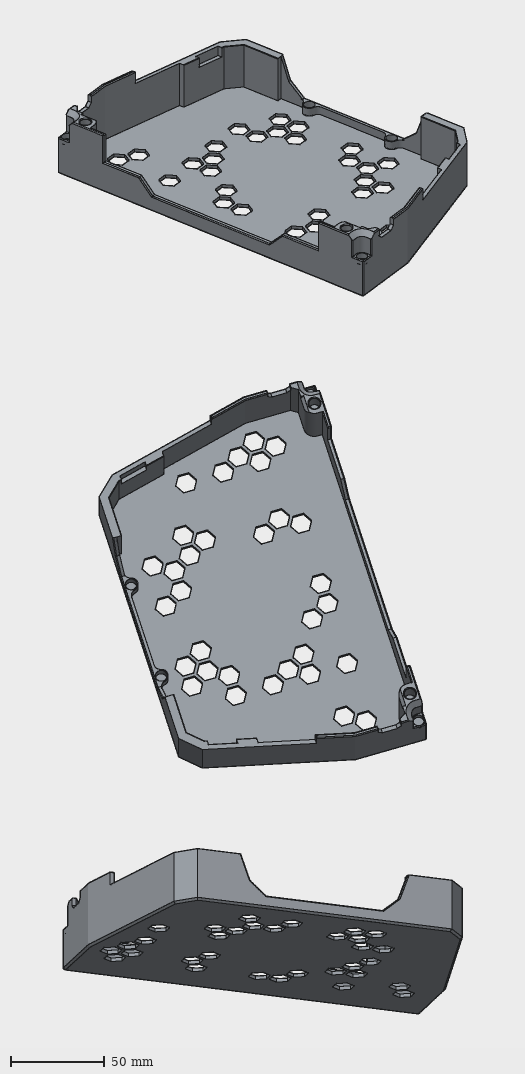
import cadquery as cq
import math

WIDTH = 203.6
DEPTH = 130.0
HEIGHT = 36.6
HALF_WIDTH = WIDTH / 2

SIDE_STRAIGHT_END = 40.0
REAR_CORNER = 10.3
REAR_CORNER_X = 82.3
REAR_HALF_WIDTH = 72.5

WALL = 2.3
THICK_WALL = 5.0
FLOOR = 2.0
BOTTOM_CHAMFER = 1.2
RIM_CHAMFER = 0.6
THICK_RIM_CHAMFER = 0.3
OUTWARD_TAPER = -45
THICK_SIDE_START = 90.0
REAR_HEIGHT = 29.0
SIDE_STEP_Y = 60.3

FRONT_OPENING_HALF = 71.3
FRONT_LEDGE_Z = 19.0
OPENING_LEDGE_HALF = 47.6
FRONT_SILL_HALF = 39.0
FRONT_SILL_Z = 10.0

REAR_KINK_HALF = 42.4
REAR_KINK_Z = 14.8
REAR_SILL_HALF = 33.2
REAR_SILL_Z = 7.0

NOTCH_Y = 20.7
NOTCH_WIDTH = 12.9
NOTCH_Z = 30.0
NOTCH_CHAMFER = 2.3

POCKET_START = 100.5
POCKET_END = 115.7
POCKET_DEPTH = 6.0
POCKET_OUTER = 2.6

CORNER_INSET = 3.55
RELIEF_RADIUS = 3.7
RELIEF_Z = 23.4
FLARE_SIZE = 3.0
CORNER_HOLE_DIAMETER = 6.1
CORNER_HOLE_Z = 20.0
PILLAR_HOLE_X = 87.0
PILLAR_HOLE_Y = 4.9
PILLAR_HOLE_DIAMETER = 6.05
PILLAR_HOLE_DEPTH = 10.0
PILLAR_HOLE_CHAMFER = 0.5
PILLAR_RADIUS = 5.8
PILLAR_BACK = 10.8
BRACE_WIDTH = 3.6
BRACE_LENGTH = 5.5
BEVEL_WIDTH = 1.7
BEVEL_HEIGHT = 3.0
BEVEL_REACH = 5.9

REAR_BOSS_X = 27.4
REAR_BOSS_Y = 125.9
REAR_BOSS_RADIUS = 3.75
REAR_BOSS_FILLET = 3.4
REAR_HOLE_DIAMETER = 6.2

HEX_PITCH = 12.0
HEX_FLATS = 10.2
ROW_PITCH = HEX_PITCH * math.sqrt(3) / 2
FIRST_ROW_Y = 28.1
SIDE_VENT_X = 82.3
CENTRE_VENTS = [
    (0, -4), (0, -1), (0, 0), (0, 3),
    (1, -1.5), (1, 3.5),
    (2, -4), (2, -3), (2, 3),
    (3, -3.5),
    (4, -4),
    (5, 3.5),
    (6, -4), (6, -3), (6, 3), (6, 4),
    (7, -2.5), (7, -1.5), (7, 1.5), (7, 2.5),
    (8, -3), (8, -2), (8, 1), (8, 3),
]
LEFT_VENTS = [(0, 0), (1, 0.5)]
RIGHT_VENTS = [(0, 0), (1, -0.5), (1, 0.5), (2, 0), (3, -0.5), (5, -0.5)]


def box(x0, x1, y0, y1, z0, z1):
    return cq.Workplane("XY").box(x1 - x0, y1 - y0, z1 - z0, centered=False).translate((x0, y0, z0))


def mirrored(solid):
    return solid.union(solid.mirror("YZ"))


def outline(inset=0.0):
    points = [
        (HALF_WIDTH, 0),
        (HALF_WIDTH, SIDE_STRAIGHT_END),
        (REAR_CORNER_X, DEPTH - REAR_CORNER),
        (REAR_HALF_WIDTH, DEPTH),
    ]
    points += [(-x, y) for x, y in reversed(points)]
    sketch = cq.Workplane("XY").polyline(points).close()
    return sketch.offset2D(-inset, "intersection") if inset else sketch


def profile_cut(points, y0, y1):
    """Prism along Y whose profile is given on the +X side and mirrored to -X."""
    points = points + [(-x, z) for x, z in reversed(points)]
    return cq.Workplane("XZ", origin=(0, y1, 0)).polyline(points).close().extrude(y1 - y0)


def shell():
    body = outline().extrude(HEIGHT).faces("<Z").chamfer(BOTTOM_CHAMFER)
    thin = outline(WALL).extrude(HEIGHT).translate((0, 0, FLOOR))
    thick = outline(THICK_WALL).extrude(HEIGHT).translate((0, 0, FLOOR))
    front_room = box(-WIDTH, WIDTH, 0, THICK_SIDE_START, 0, 2 * HEIGHT)
    middle_room = box(-OPENING_LEDGE_HALF, OPENING_LEDGE_HALF, 0, DEPTH, 0, 2 * HEIGHT)
    return body.cut(thick.union(thin.intersect(front_room.union(middle_room))))


def edges_between(low, high):
    """Selector for edges whose centres lie between two heights."""
    return cq.selectors.BoxSelector((-WIDTH, -DEPTH, low), (WIDTH, 2 * DEPTH, high))


def chamfer_rims(body):
    """Chamfer the high rim, the front face above its base, and the outer edge of the rear opening."""
    above_base = edges_between(2 * BOTTOM_CHAMFER, 2 * HEIGHT)
    body = body.faces(">Z or <Y").edges(above_base).chamfer(RIM_CHAMFER)
    rear_edges = body.faces(">Y").edges("not |Z")
    opening_edges = rear_edges.edges(edges_between(2 * BOTTOM_CHAMFER, REAR_HEIGHT - RIM_CHAMFER))
    return opening_edges.chamfer(RIM_CHAMFER)


def thick_rim_chamfer():
    """Chamfer along the inner top edge of the thick rear walls."""
    opening = (
        outline(THICK_WALL)
        .extrude(THICK_RIM_CHAMFER, taper=OUTWARD_TAPER)
        .translate((0, 0, REAR_HEIGHT - THICK_RIM_CHAMFER))
    )
    return opening.intersect(box(-WIDTH, WIDTH, THICK_SIDE_START, DEPTH, 0, HEIGHT))


def rear_height_cut():
    return box(-WIDTH, WIDTH, SIDE_STEP_Y, DEPTH, REAR_HEIGHT, HEIGHT)


def front_opening():
    return profile_cut(
        [
            (FRONT_OPENING_HALF, HEIGHT),
            (FRONT_OPENING_HALF, FRONT_LEDGE_Z),
            (OPENING_LEDGE_HALF, FRONT_LEDGE_Z),
            (FRONT_SILL_HALF, FRONT_SILL_Z),
        ],
        0,
        WALL,
    )


def rear_opening():
    return profile_cut(
        [
            (OPENING_LEDGE_HALF, HEIGHT),
            (OPENING_LEDGE_HALF, REAR_HEIGHT),
            (REAR_KINK_HALF, REAR_KINK_Z),
            (REAR_SILL_HALF, REAR_SILL_Z),
        ],
        DEPTH - THICK_WALL,
        DEPTH,
    )


def side_notches():
    notch = box(
        -HALF_WIDTH, HALF_WIDTH,
        NOTCH_Y - NOTCH_WIDTH / 2, NOTCH_Y + NOTCH_WIDTH / 2,
        NOTCH_Z, HEIGHT,
    )
    notch = notch.edges("<Z and |X").chamfer(NOTCH_CHAMFER)
    return notch.cut(box(-HALF_WIDTH + WALL, HALF_WIDTH - WALL, 0, DEPTH, 0, HEIGHT))


def wall_pockets():
    room = box(-WIDTH, WIDTH, POCKET_START, POCKET_END, REAR_HEIGHT - POCKET_DEPTH, REAR_HEIGHT)
    return outline(POCKET_OUTER).extrude(HEIGHT).intersect(room)


def corner_pillars():
    left = -HALF_WIDTH + WALL / 2
    right = -PILLAR_HOLE_X + PILLAR_RADIUS
    pillar = (
        cq.Workplane("XY")
        .moveTo(left, WALL / 2)
        .lineTo(right, WALL / 2)
        .lineTo(right, PILLAR_BACK - PILLAR_RADIUS)
        .radiusArc((right - PILLAR_RADIUS, PILLAR_BACK), -PILLAR_RADIUS)
        .lineTo(left + BRACE_WIDTH, PILLAR_BACK)
        .lineTo(left, PILLAR_BACK + BRACE_LENGTH)
        .close()
        .extrude(HEIGHT)
    )
    bevel = (
        cq.Workplane("YZ", origin=(-PILLAR_HOLE_X - BEVEL_REACH, 0, 0))
        .polyline(
            [
                (PILLAR_BACK - BEVEL_WIDTH, HEIGHT),
                (PILLAR_BACK, HEIGHT - BEVEL_HEIGHT),
                (PILLAR_BACK, HEIGHT),
            ]
        )
        .close()
        .extrude(BEVEL_REACH + PILLAR_RADIUS)
    )
    return mirrored(pillar.cut(bevel))


def relief_profile(z):
    """Square open to the outside corner, with its inner corner rounded about the relief axis."""
    outer = -2 * CORNER_INSET
    return (
        cq.Workplane("XY", origin=(-HALF_WIDTH + CORNER_INSET, CORNER_INSET, z))
        .moveTo(outer, outer)
        .lineTo(RELIEF_RADIUS, outer)
        .lineTo(RELIEF_RADIUS, 0)
        .threePointArc(
            (RELIEF_RADIUS * math.sqrt(0.5), RELIEF_RADIUS * math.sqrt(0.5)),
            (0, RELIEF_RADIUS),
        )
        .lineTo(outer, RELIEF_RADIUS)
        .close()
    )


def corner_reliefs():
    relief = relief_profile(RELIEF_Z).extrude(HEIGHT - RELIEF_Z)
    flare = relief_profile(HEIGHT - FLARE_SIZE).extrude(FLARE_SIZE, taper=OUTWARD_TAPER)
    reach = CORNER_INSET + RELIEF_RADIUS
    corner = (-HALF_WIDTH, 0, 0)
    front_bevel = (
        cq.Workplane("XZ", origin=(-HALF_WIDTH, RIM_CHAMFER, 0))
        .moveTo(-reach, RELIEF_Z)
        .lineTo(reach, RELIEF_Z)
        .lineTo(reach, HEIGHT - FLARE_SIZE)
        .lineTo(-reach, HEIGHT - FLARE_SIZE)
        .close()
        .extrude(RIM_CHAMFER, taper=OUTWARD_TAPER)
    )
    side_bevel = front_bevel.mirror((1, -1, 0), corner)
    return mirrored(relief.union(flare).union(front_bevel).union(side_bevel))


def corner_holes():
    hole = (
        cq.Workplane("XY", origin=(-HALF_WIDTH + CORNER_INSET, CORNER_INSET, CORNER_HOLE_Z))
        .circle(CORNER_HOLE_DIAMETER / 2)
        .extrude(HEIGHT - CORNER_HOLE_Z)
    )
    return mirrored(hole)


def pillar_holes():
    hole = (
        cq.Workplane("XY", origin=(-PILLAR_HOLE_X, PILLAR_HOLE_Y, HEIGHT - PILLAR_HOLE_DEPTH))
        .circle(PILLAR_HOLE_DIAMETER / 2)
        .extrude(PILLAR_HOLE_DEPTH)
    )
    mouth = cq.Workplane("XY").add(
        cq.Solid.makeCone(
            PILLAR_HOLE_DIAMETER / 2,
            PILLAR_HOLE_DIAMETER / 2 + PILLAR_HOLE_CHAMFER,
            PILLAR_HOLE_CHAMFER,
            pnt=cq.Vector(-PILLAR_HOLE_X, PILLAR_HOLE_Y, HEIGHT - PILLAR_HOLE_CHAMFER),
        )
    )
    return mirrored(hole.union(mouth))


def rear_bosses():
    """Round bosses blended into the inner face of the rear wall by concave fillets."""
    root = DEPTH - WALL - REAR_BOSS_Y
    centre_gap = REAR_BOSS_RADIUS + REAR_BOSS_FILLET
    fillet_y = root - REAR_BOSS_FILLET
    fillet_x = math.sqrt(centre_gap**2 - fillet_y**2)
    touch_x = fillet_x * REAR_BOSS_RADIUS / centre_gap
    touch_y = fillet_y * REAR_BOSS_RADIUS / centre_gap
    boss = (
        cq.Workplane("XY", origin=(REAR_BOSS_X, REAR_BOSS_Y, 0))
        .moveTo(-fillet_x, root)
        .radiusArc((-touch_x, touch_y), REAR_BOSS_FILLET)
        .threePointArc((0, -REAR_BOSS_RADIUS), (touch_x, touch_y))
        .radiusArc((fillet_x, root), REAR_BOSS_FILLET)
        .lineTo(fillet_x, root + WALL / 2)
        .lineTo(-fillet_x, root + WALL / 2)
        .close()
        .extrude(REAR_SILL_Z)
    )
    return mirrored(boss)


def rear_boss_holes():
    hole = (
        cq.Workplane("XY", origin=(REAR_BOSS_X, REAR_BOSS_Y, FLOOR))
        .circle(REAR_HOLE_DIAMETER / 2)
        .extrude(HEIGHT)
    )
    return mirrored(hole)


def vents():
    groups = [(0, CENTRE_VENTS), (-SIDE_VENT_X, LEFT_VENTS), (SIDE_VENT_X, RIGHT_VENTS)]
    centres = [
        (start + step * HEX_PITCH, FIRST_ROW_Y + row * ROW_PITCH)
        for start, group in groups
        for row, step in group
    ]
    corner_diameter = HEX_FLATS * 2 / math.sqrt(3)
    hexagon = cq.Sketch().regularPolygon(corner_diameter / 2, 6)
    return cq.Workplane("XY").pushPoints(centres).placeSketch(hexagon).extrude(FLOOR)


result = shell().cut(rear_height_cut()).cut(front_opening()).cut(rear_opening())
result = chamfer_rims(result).union(corner_pillars()).union(rear_bosses())
for cutter in (
    thick_rim_chamfer(), side_notches(), wall_pockets(), corner_reliefs(),
    corner_holes(), pillar_holes(), rear_boss_holes(), vents(),
):
    result = result.cut(cutter)